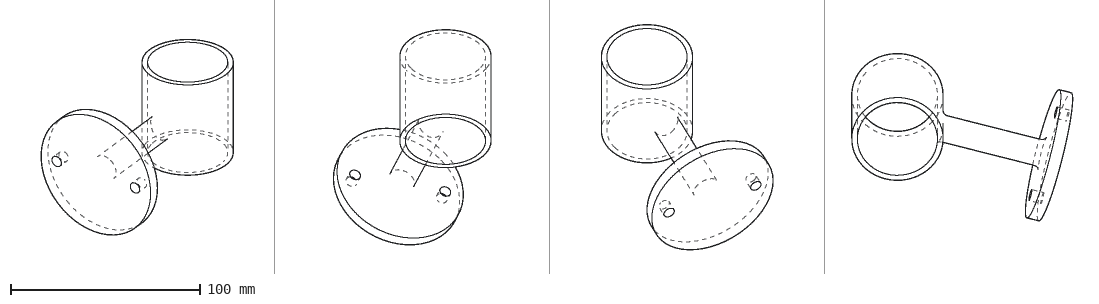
import cadquery as cq

total_depth = 110.5

plate_diameter = 70.0
plate_thickness = 6.5
screw_hole_diameter = 6.0
screw_hole_spacing = 50.0

tube_diameter = 48.3
tube_wall = 3.0
tube_height = 55.0

stem_diameter = 14.3
weld_radius = 3.0

tube_center_y = total_depth - tube_diameter / 2
bore_diameter = tube_diameter - 2 * tube_wall


def cylinder_along_y(diameter, length):
    """Solid cylinder from the wall face (Y = 0) towards +Y."""
    return cq.Workplane("XZ").circle(diameter / 2).extrude(-length)


def cylinder_along_z(diameter):
    """Upright cylinder of the tube's height on the tube axis."""
    return (
        cq.Workplane("XY", origin=(0, tube_center_y, -tube_height / 2))
        .circle(diameter / 2)
        .extrude(tube_height)
    )


def stem_joint_edges(body):
    """Edges where the stem meets the plate and the tube."""
    reach = stem_diameter / 2 + weld_radius
    joint_zone = cq.selectors.BoxSelector(
        (-reach, plate_thickness / 2, -reach),
        (reach, tube_center_y - bore_diameter / 2, reach),
        boundingbox=True,
    )
    return body.edges(joint_zone).edges("not(|Y)")


plate = cylinder_along_y(plate_diameter, plate_thickness)
stem = cylinder_along_y(stem_diameter, tube_center_y)
body = plate.union(stem).union(cylinder_along_z(tube_diameter))
body = stem_joint_edges(body).fillet(weld_radius)

body = body.cut(cylinder_along_z(bore_diameter))

for side in (-1, 1):
    screw_hole = cylinder_along_y(screw_hole_diameter, plate_thickness)
    body = body.cut(screw_hole.translate((side * screw_hole_spacing / 2, 0, 0)))

result = body